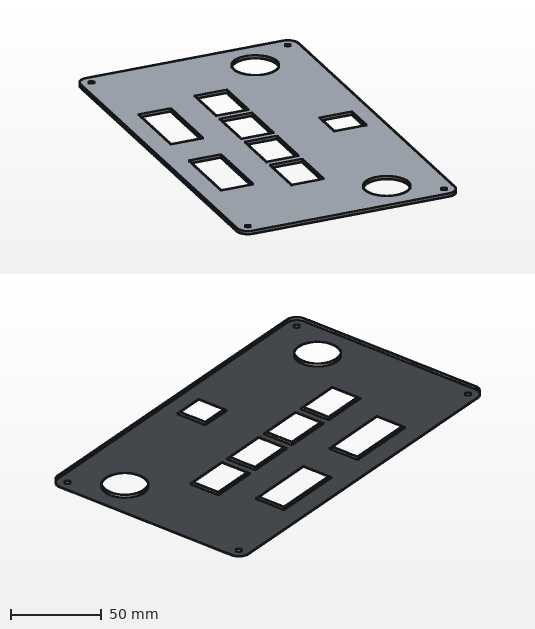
import cadquery as cq

PLATE_LENGTH = 220.94
PLATE_WIDTH = 131.67
PLATE_THICKNESS = 2.0
CORNER_RADIUS = 6.55

SCREW_HOLE_DIAMETER = 3.2
SCREW_SPACING_X = PLATE_LENGTH - 2 * CORNER_RADIUS
SCREW_SPACING_Y = PLATE_WIDTH - 2 * CORNER_RADIUS

ROUND_OPENING_DIAMETER = 26.1
ROUND_OPENING_SPACING = 174.7
ROUND_OPENING_Y = 32.2

WINDOW_HEIGHT = 19.4
SQUARE_WINDOW_Y = 45.5

SMALL_WINDOW_LENGTH = 28.7
SMALL_WINDOW_COUNT = 4
SMALL_WINDOW_PITCH = 33.35
SMALL_WINDOW_Y = -5.2

LARGE_WINDOW_LENGTH = 43.0
LARGE_WINDOW_COUNT = 2
LARGE_WINDOW_PITCH = 2 * SMALL_WINDOW_PITCH
LARGE_WINDOW_Y = -43.4


def make_plate():
    """Flat plate with rounded corners, resting on the XY plane."""
    return (
        cq.Workplane("XY")
        .rect(PLATE_LENGTH, PLATE_WIDTH)
        .extrude(PLATE_THICKNESS)
        .edges("|Z")
        .fillet(CORNER_RADIUS)
    )


def screw_holes():
    """Cutters for the four corner screw holes."""
    return (
        cq.Workplane("XY")
        .rarray(SCREW_SPACING_X, SCREW_SPACING_Y, 2, 2)
        .circle(SCREW_HOLE_DIAMETER / 2)
        .extrude(PLATE_THICKNESS)
    )


def round_openings():
    """Cutters for the two large round openings."""
    return (
        cq.Workplane("XY")
        .center(0, ROUND_OPENING_Y)
        .rarray(ROUND_OPENING_SPACING, 1, 2, 1)
        .circle(ROUND_OPENING_DIAMETER / 2)
        .extrude(PLATE_THICKNESS)
    )


def window_row(length, y, count=1, pitch=1):
    """Cutters for a row of equal windows centred on X = 0."""
    return (
        cq.Workplane("XY")
        .center(0, y)
        .rarray(pitch, 1, count, 1)
        .rect(length, WINDOW_HEIGHT)
        .extrude(PLATE_THICKNESS)
    )


result = (
    make_plate()
    .cut(screw_holes())
    .cut(round_openings())
    .cut(window_row(WINDOW_HEIGHT, SQUARE_WINDOW_Y))
    .cut(window_row(SMALL_WINDOW_LENGTH, SMALL_WINDOW_Y, SMALL_WINDOW_COUNT, SMALL_WINDOW_PITCH))
    .cut(window_row(LARGE_WINDOW_LENGTH, LARGE_WINDOW_Y, LARGE_WINDOW_COUNT, LARGE_WINDOW_PITCH))
)